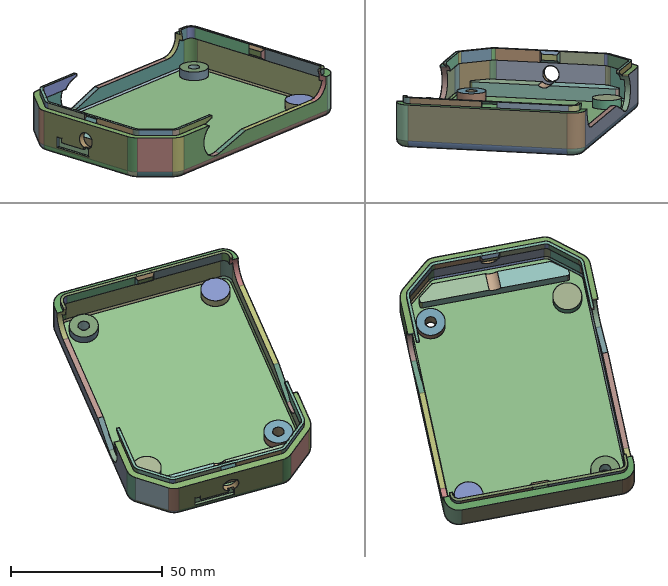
import cadquery as cq
import math

WIDTH = 64.0
LENGTH = 90.0
HEIGHT = 16.5
BODY_HEIGHT = 14.5
CORNER_RADIUS = 5.0
FRONT_CORNER_X = 12.0
FRONT_CORNER_Y = 10.3
BOTTOM_FILLET = 2.4

FLOOR = 2.0
SIDE_WALL = 1.9
END_WALL = 2.2
FLOOR_CHAMFER = 0.6

LIP_SIDE_INSET = 2.1
LIP_END_INSET = 2.4
LIP_THICKNESS = 1.0
LIP_BAND_BOTTOM = 12.5
LIP_HEIGHT = HEIGHT - BODY_HEIGHT

SNAP_DEPTH = 1.0
RIDGE_LENGTH = 6.8
SNAP_CREST_LENGTH = 5.2

BOSS_DIAMETER = 9.6
BOSS_TOP = 5.0
BOSS_X = 23.0
BOSS_BACK_Y = 36.5
BOSS_FRONT_Y = -26.5
SCREW_DIAMETER = 3.7

LED_DIAMETER = 5.5
LED_Z = 8.5
CRADLE_TOP = 6.6
CRADLE_BACK_Y = -33.1
CRADLE_FRONT_Y = -39.1
CRADLE_HALF_WIDTH = 25.2
CRADLE_FRONT_HALF_WIDTH = 20.0
CRADLE_SIDE_Y = -35.0
CRADLE_CORNER_RADIUS = 0.8

RECESS_DEPTH = 1.0
RECESS_LEFT_X = -12.5
RECESS_RIGHT_X = 1.15
RECESS_BOTTOM_Z = 3.0
RECESS_BAR_TOP_Z = 5.1
RECESS_LEFT_ARM_WIDTH = 1.9
RECESS_LEFT_ARM_TOP_Z = 6.6
RECESS_RIGHT_ARM_WIDTH = 2.1
RECESS_RIGHT_ARM_TOP_Z = 5.8

HOOK_RADIUS = 6.05
HOOK_Y = -16.4
HOOK_Z = 9.05
HOOK_TIP_Y = -15.85
HOOK_TIP_Z = 15.7
NOTCH_FLOOR_Z = 7.4
BACK_ARC_RADIUS = 6.05
BACK_ARC_Z = NOTCH_FLOOR_Z + BACK_ARC_RADIUS
LEFT_RAMP_Y = -3.3
LEFT_BACK_ARC_Y = 31.4
RIGHT_RAMP_Y = -1.3
RIGHT_BACK_ARC_Y = 33.4
NOTCH_REACH = 6.0
TIP_FILLET = 0.35
RIM_FILLET = 0.25


def outline(side_inset, end_inset, z, height):
    """Prism of the case outline, moved inward from the outer faces."""
    half_width = WIDTH / 2 - side_inset
    half_length = LENGTH / 2 - end_inset
    edge_length = math.hypot(FRONT_CORNER_X, FRONT_CORNER_Y)
    normal_x = FRONT_CORNER_Y / edge_length
    normal_y = FRONT_CORNER_X / edge_length
    reach = normal_x * (WIDTH / 2) + normal_y * (LENGTH / 2 - FRONT_CORNER_Y) - side_inset
    front_x = (reach - normal_y * half_length) / normal_x
    side_y = -(reach - normal_x * half_width) / normal_y
    radius = CORNER_RADIUS - side_inset
    return (
        cq.Workplane("XY")
        .workplane(offset=z)
        .polyline([
            (-half_width, half_length),
            (half_width, half_length),
            (half_width, side_y),
            (front_x, -half_length),
            (-front_x, -half_length),
            (-half_width, side_y),
        ])
        .close()
        .extrude(height)
        .edges("|Z")
        .fillet(radius)
    )


def shell():
    body = outline(0, 0, 0, BODY_HEIGHT).faces("<Z").edges().fillet(BOTTOM_FILLET)
    lip = outline(LIP_SIDE_INSET, LIP_END_INSET, BODY_HEIGHT, LIP_HEIGHT)
    cavity = outline(SIDE_WALL, END_WALL, FLOOR, LIP_BAND_BOTTOM - FLOOR)
    cavity = cavity.faces("<Z").edges().chamfer(FLOOR_CHAMFER)
    opening = outline(
        LIP_SIDE_INSET + LIP_THICKNESS,
        LIP_END_INSET + LIP_THICKNESS,
        FLOOR + FLOOR_CHAMFER,
        HEIGHT,
    )
    return body.union(lip).cut(cavity).cut(opening)


def notch(ramp_y, back_arc_y):
    """Y-Z outline of a side notch: round hook pocket, ramp, flat and back arc."""
    run = ramp_y - HOOK_Y
    drop = HOOK_Z - NOTCH_FLOOR_Z
    slope = math.asin(HOOK_RADIUS / math.hypot(run, drop)) - math.atan2(drop, run)
    tangent = (HOOK_Y + HOOK_RADIUS * math.sin(slope), HOOK_Z - HOOK_RADIUS * math.cos(slope))
    hook_top = (HOOK_Y - HOOK_RADIUS * math.sin(slope), HOOK_Z + HOOK_RADIUS * math.cos(slope))
    hook_side = (HOOK_Y - HOOK_RADIUS * math.cos(slope), HOOK_Z - HOOK_RADIUS * math.sin(slope))
    top_rise = HEIGHT - BACK_ARC_Z
    arc_top_y = back_arc_y + math.sqrt(BACK_ARC_RADIUS**2 - top_rise**2)
    diagonal = BACK_ARC_RADIUS * math.sqrt(0.5)
    return (
        cq.Workplane("YZ")
        .moveTo(back_arc_y, NOTCH_FLOOR_Z)
        .lineTo(ramp_y, NOTCH_FLOOR_Z)
        .lineTo(*tangent)
        .threePointArc(hook_side, hook_top)
        .lineTo(HOOK_TIP_Y, HOOK_TIP_Z)
        .lineTo(HOOK_TIP_Y, HEIGHT)
        .lineTo(arc_top_y, HEIGHT)
        .threePointArc((back_arc_y + diagonal, BACK_ARC_Z - diagonal), (back_arc_y, NOTCH_FLOOR_Z))
        .close()
    )


def side_notches():
    left = notch(LEFT_RAMP_Y, LEFT_BACK_ARC_Y).extrude(NOTCH_REACH)
    right = notch(RIGHT_RAMP_Y, RIGHT_BACK_ARC_Y).extrude(NOTCH_REACH)
    left = left.translate((-WIDTH / 2, 0, 0))
    right = right.translate((WIDTH / 2 - NOTCH_REACH, 0, 0))
    return left.union(right)


def snap_ridge(face_y, inward):
    """Ridge on the inner face of the lip, bevelled at its top, bottom and ends."""
    crest_y = face_y + inward * SNAP_DEPTH
    ridge = (
        cq.Workplane("YZ")
        .polyline([
            (face_y, LIP_BAND_BOTTOM),
            (crest_y, LIP_BAND_BOTTOM + SNAP_DEPTH),
            (crest_y, HEIGHT - SNAP_DEPTH),
            (face_y, HEIGHT),
        ])
        .close()
        .extrude(RIDGE_LENGTH / 2, both=True)
    )
    plan = (
        cq.Workplane("XY")
        .polyline([
            (-RIDGE_LENGTH / 2, face_y),
            (RIDGE_LENGTH / 2, face_y),
            (SNAP_CREST_LENGTH / 2, crest_y),
            (-SNAP_CREST_LENGTH / 2, crest_y),
        ])
        .close()
        .extrude(HEIGHT)
    )
    return ridge.intersect(plan)


def snap_groove(face_y, inward):
    """V groove across the outer face of the lip."""
    return (
        cq.Workplane("YZ")
        .polyline([
            (face_y, BODY_HEIGHT),
            (face_y + inward * SNAP_DEPTH, BODY_HEIGHT + LIP_HEIGHT / 2),
            (face_y, HEIGHT),
        ])
        .close()
        .extrude(SNAP_CREST_LENGTH / 2, both=True)
    )


def cradle():
    block = (
        cq.Workplane("XY")
        .workplane(offset=FLOOR)
        .polyline([
            (-CRADLE_HALF_WIDTH, CRADLE_BACK_Y),
            (CRADLE_HALF_WIDTH, CRADLE_BACK_Y),
            (CRADLE_HALF_WIDTH, CRADLE_SIDE_Y),
            (CRADLE_FRONT_HALF_WIDTH, CRADLE_FRONT_Y),
            (-CRADLE_FRONT_HALF_WIDTH, CRADLE_FRONT_Y),
            (-CRADLE_HALF_WIDTH, CRADLE_SIDE_Y),
        ])
        .close()
        .extrude(CRADLE_TOP - FLOOR)
    )
    return block.edges("|Z and >Y").fillet(CRADLE_CORNER_RADIUS)


def led_bore():
    """Bore through the front wall that also grooves the cradle."""
    bore = cq.Workplane("XZ").center(0, LED_Z).circle(LED_DIAMETER / 2)
    bore = bore.extrude(LENGTH / 2 + CRADLE_BACK_Y)
    return bore.translate((0, CRADLE_BACK_Y, 0))


def led_recess():
    left_arm_x = RECESS_LEFT_X + RECESS_LEFT_ARM_WIDTH
    right_arm_x = RECESS_RIGHT_X - RECESS_RIGHT_ARM_WIDTH
    recess = (
        cq.Workplane("XZ")
        .polyline([
            (RECESS_LEFT_X, RECESS_BOTTOM_Z),
            (RECESS_RIGHT_X, RECESS_BOTTOM_Z),
            (RECESS_RIGHT_X, RECESS_RIGHT_ARM_TOP_Z),
            (right_arm_x, RECESS_RIGHT_ARM_TOP_Z),
            (right_arm_x, RECESS_BAR_TOP_Z),
            (left_arm_x, RECESS_BAR_TOP_Z),
            (left_arm_x, RECESS_LEFT_ARM_TOP_Z),
            (RECESS_LEFT_X, RECESS_LEFT_ARM_TOP_Z),
        ])
        .close()
        .extrude(RECESS_DEPTH)
    )
    return recess.translate((0, RECESS_DEPTH - LENGTH / 2, 0))


def round_lip_ends(part):
    """Round the tips of the lip where the notches break through it."""
    tip_edges = cq.selectors.BoxSelector(
        (-WIDTH, HOOK_TIP_Y - TIP_FILLET, HOOK_TIP_Z - TIP_FILLET),
        (WIDTH, LENGTH / 2 - CORNER_RADIUS, HEIGHT + TIP_FILLET),
    )
    return part.edges("|X").edges(tip_edges).fillet(TIP_FILLET)


def round_body_rim(part):
    """Round the sharp edges left where the hook pockets undercut the body rim."""
    rim_edges = cq.selectors.BoxSelector(
        (-WIDTH, HOOK_Y - HOOK_RADIUS, BODY_HEIGHT - RIM_FILLET),
        (WIDTH, HOOK_Y, BODY_HEIGHT + RIM_FILLET),
    )
    return part.edges("|X").edges(rim_edges).fillet(RIM_FILLET)


def boss_cylinders(centres, diameter, z, height):
    plane = cq.Workplane("XY").workplane(offset=z)
    return plane.pushPoints(centres).circle(diameter / 2).extrude(height)


screw_centres = [(-BOSS_X, BOSS_BACK_Y), (BOSS_X, BOSS_FRONT_Y)]
plain_centres = [(BOSS_X, BOSS_BACK_Y), (-BOSS_X, BOSS_FRONT_Y)]

result = round_body_rim(round_lip_ends(shell().cut(side_notches())))
boss_centres = screw_centres + plain_centres
result = result.union(boss_cylinders(boss_centres, BOSS_DIAMETER, FLOOR, BOSS_TOP - FLOOR))
result = result.cut(boss_cylinders(screw_centres, SCREW_DIAMETER, 0, BOSS_TOP))
result = result.union(cradle()).cut(led_bore()).cut(led_recess())
for end in (-1, 1):
    lip_outer_y = end * (LENGTH / 2 - LIP_END_INSET)
    lip_inner_y = lip_outer_y - end * LIP_THICKNESS
    result = result.union(snap_ridge(lip_inner_y, -end))
    result = result.cut(snap_groove(lip_outer_y, -end))